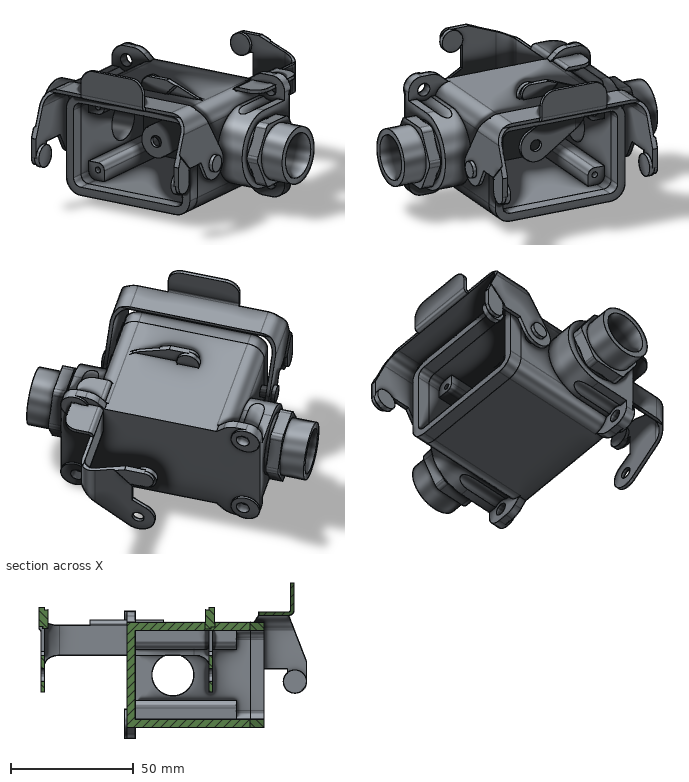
import cadquery as cq
import math


body_width = 60.0
body_height = 43.0
body_depth = 56.0
body_corner_radius = 7.0
wall = 3.5
rim_depth = 5.6
shell_depth = body_depth - rim_depth

ear_span = 84.0
ear_height = 52.0
ear_thickness = 3.5
ear_corner_radius = 6.0
ear_flat_start = 31.8
ear_blend_radius = 8.0
ear_blend_angle = math.radians(41)
ear_pad_diameter = 12.0
ear_pad_height = 1.0
mount_hole_diameter = 5.5
mount_hole_x = 35.0
mount_hole_z = 20.0
screw_groove_diameter = 9.5

entry_radius = 16.5
entry_axis_y = -18.8
entry_bore = 17.0
collar_diameter = 26.0
collar_length = 1.4
hex_across_flats = 26.7
hex_length = 5.1
hex_corner_radius = 3.0
tube_diameter = 24.0
tube_bore = 18.92
tube_end = 58.5

post_x = 22.0
post_z = 13.5
post_wall = 3.1
post_overlap = 1.0
post_corner_radius = 3.0
post_front = 44.7
post_hole_diameter = 2.46
post_hole_depth = 10.0

pivot_y = -45.8
pin_diameter = 5.0
pin_head_diameter = 7.0
pin_head_thickness = 1.6

lever_half_width = 35.0
lever_height = 25.7
sheet = 1.5
bend_radius = 7.5
pivot_radius = 7.0
strip_back = 8.0
strip_front = 20.2
strip_side_height = 1.4
neck = (9.5, 2.5)
finger_back = 19.65
finger_front = 27.5
finger_front_top = 5.5
hook_z = -2.75
finger_step = 0.8
ramp_offset = 15.25
button_diameter = 9.5
button_thickness = 2.2
button_inner_x = 32.1
tab_width = 30.0
tab_top = 37.5
tab_corner_radius = 6.0
tab_bend_inner_radius = 0.75
lever_side_plane = cq.Plane(origin=(0, 0, 0), xDir=(0, -1, 0), normal=(-1, 0, 0))


def rounded_block(width, height, radius, start, end):
    """Block with rounded edges along Y, from depth start to depth end."""
    block = cq.Workplane("XZ", origin=(0, -start, 0)).rect(width, height).extrude(end - start)
    return block.edges("|Y").fillet(radius)


def cavity(start, end):
    return rounded_block(
        body_width - 2 * wall, body_height - 2 * wall, body_corner_radius - wall, start, end
    )


def rod_y(x, z, diameter, start, end):
    """Cylinder along Y from depth start to depth end."""
    return cq.Workplane("XZ", origin=(x, -start, z)).circle(diameter / 2).extrude(end - start)


def rod_x(y, z, diameter, start, end):
    """Cylinder along X from x = start to x = end."""
    return cq.Workplane("YZ", origin=(start, y, z)).circle(diameter / 2).extrude(end - start)


def on_both_sides(shape):
    return shape.union(shape.mirror("YZ"))


def on_four_corners(shape):
    sides = on_both_sides(shape)
    return sides.union(sides.mirror("XY"))


def ear():
    """One quarter of the mounting plate with its rear pad."""
    half_span = ear_span / 2
    half_height = ear_height / 2
    body_top = body_height / 2
    corner_x = half_span - ear_corner_radius
    corner_z = half_height - ear_corner_radius
    corner_mid = ear_corner_radius * math.sqrt(0.5)

    def blend_point(angle):
        return (
            ear_flat_start - ear_blend_radius * math.sin(angle),
            half_height - ear_blend_radius * (1 - math.cos(angle)),
        )

    blend_end = blend_point(ear_blend_angle)
    slope_end = blend_end[0] - (blend_end[1] - body_top) / math.tan(ear_blend_angle)
    plate = (
        cq.Workplane("XZ")
        .lineTo(half_span, 0)
        .lineTo(half_span, corner_z)
        .threePointArc((corner_x + corner_mid, corner_z + corner_mid), (corner_x, half_height))
        .lineTo(ear_flat_start, half_height)
        .threePointArc(blend_point(ear_blend_angle / 2), blend_end)
        .lineTo(slope_end, body_top)
        .lineTo(0, body_top)
        .close()
        .extrude(ear_thickness)
    )
    return plate.union(rod_y(corner_x, corner_z, ear_pad_diameter, -ear_pad_height, ear_thickness))


def cable_entry():
    """Entry dome on the +X side with its collar, hexagon and tube."""
    face_x = ear_span / 2
    hex_start = face_x + collar_length
    dome = rod_x(entry_axis_y, 0, 2 * entry_radius, 0, face_x)
    base = cq.Workplane("XY").box(face_x, -entry_axis_y, 2 * entry_radius, centered=(False, False, True))
    collar = rod_x(entry_axis_y, 0, collar_diameter, face_x, hex_start)
    hexagon = (
        cq.Workplane("YZ", origin=(hex_start, entry_axis_y, 0))
        .polygon(6, hex_across_flats / math.cos(math.pi / 6))
        .extrude(hex_length)
        .edges("|X")
        .fillet(hex_corner_radius)
    )
    tube = rod_x(entry_axis_y, 0, tube_diameter, hex_start, tube_end)
    solid = dome.union(base.translate((0, entry_axis_y, 0)))
    return solid.union(collar).union(hexagon).union(tube)


def screw_post():
    """Post in the +X +Z corner of the cavity, merged into the walls."""
    x_inner = post_x - post_wall
    z_inner = post_z - post_wall
    x_outer = body_width / 2 - wall + post_overlap
    z_outer = body_height / 2 - wall + post_overlap
    return (
        cq.Workplane("XZ")
        .center((x_inner + x_outer) / 2, (z_inner + z_outer) / 2)
        .rect(x_outer - x_inner, z_outer - z_inner)
        .extrude(post_front)
        .edges("|Y and <X and <Z")
        .fillet(post_corner_radius)
    )


def pivot_pin():
    """Pin on the +X side: shank through the lever and a head outside it."""
    root_x = (body_width - wall) / 2
    shank = rod_x(pivot_y, 0, pin_diameter, root_x, lever_half_width)
    head = rod_x(pivot_y, 0, pin_head_diameter, lever_half_width, lever_half_width + pin_head_thickness)
    return shank.union(head)


def build_housing():
    shell = rounded_block(body_width, body_height, body_corner_radius, 0, shell_depth)
    body = shell.union(on_four_corners(ear())).union(on_both_sides(cable_entry()))
    groove = rod_y(mount_hole_x, mount_hole_z, screw_groove_diameter, ear_thickness, body_depth)
    body = body.cut(on_four_corners(groove.cut(shell)))
    body = body.cut(cavity(wall, shell_depth))
    body = body.union(on_four_corners(screw_post()))
    mount_hole = rod_y(mount_hole_x, mount_hole_z, mount_hole_diameter, -ear_pad_height, ear_thickness)
    post_hole = rod_y(post_x, post_z, post_hole_diameter, post_front - post_hole_depth, post_front)
    body = body.cut(on_four_corners(mount_hole)).cut(on_four_corners(post_hole))
    inner_x = body_width / 2 - wall
    bore = rod_x(entry_axis_y, 0, entry_bore, inner_x, tube_end)
    tube_hole = rod_x(entry_axis_y, 0, tube_bore, ear_span / 2, tube_end)
    body = body.cut(on_both_sides(bore.union(tube_hole)))
    return body.union(on_both_sides(pivot_pin()))


def build_rim():
    rim = rounded_block(body_width, body_height, body_corner_radius, shell_depth, body_depth)
    return rim.cut(cavity(shell_depth, body_depth))


def tangent_point(point, side):
    """Point where a line from the given point touches the pivot eye."""
    reach = math.hypot(*point)
    angle = math.atan2(point[1], point[0]) + side * math.acos(pivot_radius / reach)
    return (pivot_radius * math.cos(angle), pivot_radius * math.sin(angle))


def lever_profile():
    """Side outline of the lever, solid across its whole width."""
    shoulder_z = lever_height - strip_side_height
    shoulder = (strip_back, shoulder_z)
    finger_radius = (finger_front - finger_back) / 2
    finger_middle = finger_back + finger_radius
    return (
        cq.Workplane(lever_side_plane)
        .moveTo(*tangent_point(shoulder, 1))
        .lineTo(*shoulder)
        .lineTo(strip_back, lever_height)
        .lineTo(strip_front, lever_height)
        .lineTo(strip_front, shoulder_z)
        .lineTo(finger_front, finger_front_top)
        .lineTo(finger_front, hook_z)
        .threePointArc((finger_middle, hook_z - finger_radius), (finger_back, hook_z))
        .lineTo(finger_back, neck[1])
        .lineTo(*neck)
        .lineTo(*tangent_point(neck, -1))
        .threePointArc(
            (-pivot_radius * math.sqrt(0.5), -pivot_radius * math.sqrt(0.5)),
            tangent_point(shoulder, 1),
        )
        .close()
        .extrude(lever_half_width + finger_step, both=True)
    )


def half_space(level, direction):
    """Block larger than the lever, above (direction 1) or below (-1) the given height."""
    size = 6 * lever_half_width
    return cq.Workplane("XY").box(size, size, size).translate((0, 0, level + direction * size / 2))


def lever_bridge():
    """Bent strip joining the two arms, longer than the lever along Y."""
    bend_z = lever_height - bend_radius

    def arch(half_width, top, radius):
        return (
            cq.Workplane("XZ", origin=(0, 0, bend_z))
            .rect(2 * half_width, 2 * (top - bend_z))
            .extrude(finger_front + pivot_radius)
            .edges("|Y and >Z")
            .fillet(radius)
        )

    outer = arch(lever_half_width, lever_height, bend_radius)
    inner = arch(lever_half_width - sheet, lever_height - sheet, bend_radius - sheet)
    lower_half = half_space(bend_z, -1)
    return outer.cut(inner).cut(lower_half)


def lever_arm():
    """+X arm: flat inside, with its hook finger thickened outwards beyond a 45 degree ramp."""
    reach = 2 * lever_height
    inner = lever_half_width - sheet
    across_ramp = cq.Plane(origin=(0, -ramp_offset, 0), xDir=(0, -1, -1), normal=(0, 1, -1))
    side = across_ramp.yDir.x
    section = [
        (-reach, inner),
        (reach, inner),
        (reach, lever_half_width + finger_step),
        (finger_step, lever_half_width + finger_step),
        (0, lever_half_width),
        (-reach, lever_half_width),
    ]
    points = [(along, side * x) for along, x in section]
    arm = cq.Workplane(across_ramp).polyline(points).close().extrude(reach, both=True)
    upper = half_space(lever_height - bend_radius, 1)
    return arm.cut(upper)


def lever_tab():
    """Finger tab bent up from the front edge of the strip."""
    bend_center_z = lever_height + tab_bend_inner_radius
    inner_face = strip_front + tab_bend_inner_radius
    outer_face = inner_face + sheet

    def bend_middle(radius):
        diagonal = radius * math.sqrt(0.5)
        return (strip_front + diagonal, bend_center_z - diagonal)

    return (
        cq.Workplane(lever_side_plane)
        .moveTo(strip_front, lever_height)
        .threePointArc(bend_middle(tab_bend_inner_radius), (inner_face, bend_center_z))
        .lineTo(inner_face, tab_top)
        .lineTo(outer_face, tab_top)
        .lineTo(outer_face, bend_center_z)
        .threePointArc(bend_middle(tab_bend_inner_radius + sheet), (strip_front, lever_height - sheet))
        .close()
        .extrude(tab_width / 2, both=True)
        .edges("|Y and >Z")
        .fillet(tab_corner_radius)
    )


def build_lever():
    sheet_shape = lever_bridge().union(on_both_sides(lever_arm()))
    lever = sheet_shape.intersect(lever_profile())
    button_y = button_diameter / 2 - finger_front
    button = rod_x(button_y, hook_z, button_diameter, button_inner_x, button_inner_x + button_thickness)
    lever = lever.union(on_both_sides(button)).union(lever_tab())
    return lever.cut(rod_x(0, 0, pin_diameter, -lever_half_width, lever_half_width))


lever = build_lever()
mounted_lever = lever.translate((0, pivot_y, 0))
side_lever = lever.rotate((0, 0, 0), (0, 0, 1), -90).rotate((0, 0, 0), (0, 1, 0), 90)
housing = build_housing().cut(side_lever)
rim = build_rim()

result = cq.Compound.makeCompound([housing.val(), rim.val(), mounted_lever.val(), side_lever.val()])